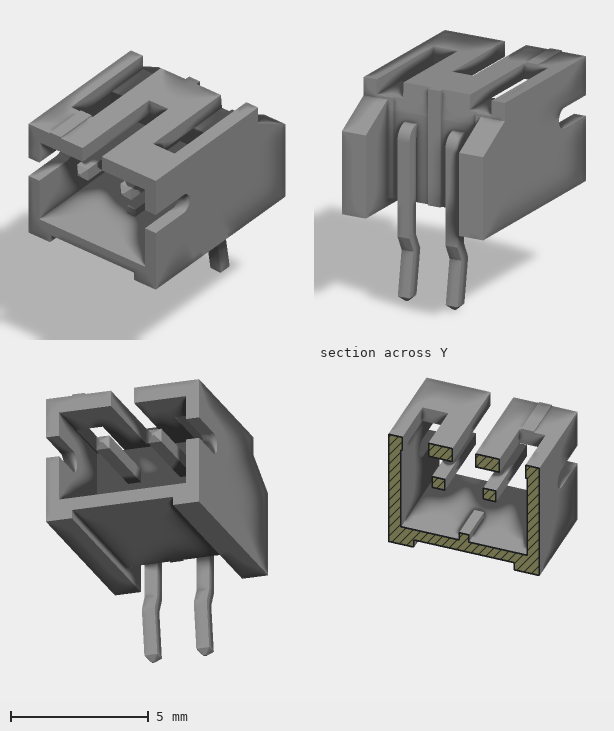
import cadquery as cq


width = 5.9
height = 4.8
wall_rear = 6.0
cheek_rear = 7.6
cheek_width = 1.0
cheek_top_front = 4.1
cheek_top_rear = 3.2
foot_height = 0.32

side_wall = 0.5
cavity_bottom = 0.8
cavity_top = 4.2
cavity_depth = 4.2

side_slot_depth = 2.0
side_slot_bottom = 2.5
side_slot_top = 3.3

notch_width = 0.89
notch_depth = 3.9
window_inner = 1.39
window_outer = 2.4
window_front = 1.8

recess_half_width = 1.735
recess_y = 5.9
recess_top_y = 5.79
recess_lean_start = 3.7
tab_width = 0.5

key_width = 0.38
key_height = 0.32
key_front = 2.28
mark_left = -1.95
mark_width = 0.5
mark_height = 0.05

pin_pitch = 2.0
pin_size = 0.5
pin_axis_z = 3.1
pin_tip_y = 0.5
pin_point_length = 0.2
pin_point_size = 0.1
tail_rear = 6.5
bend_radius = 0.56
jog_start_z = -0.9
jog_end_z = -1.49
jog_shift = 0.3
tail_end_z = -3.2
tail_end_rear = 6.48
tail_tip_z = -3.4


def box(x0, x1, y0, y1, z0, z1):
    """Block between two opposite corners."""
    return cq.Workplane("XY").box(x1 - x0, y1 - y0, z1 - z0, centered=False).translate((x0, y0, z0))


def extrude_side_profile(profile_points, extrude_width, x_center=0.0):
    """Solid from a (Y, Z) outline, extruded evenly about x_center."""
    outline = cq.Workplane("YZ").polyline(profile_points).close()
    return outline.extrude(extrude_width / 2, both=True).translate((x_center, 0, 0))


def housing_block():
    """Side outline across the full width, opened between the cheeks and between the feet."""
    side_outline = [
        (0, 0),
        (cheek_rear, 0),
        (cheek_rear, cheek_top_rear),
        (wall_rear, cheek_top_front),
        (wall_rear, height),
        (0, height),
    ]
    inner = width / 2 - cheek_width
    block = extrude_side_profile(side_outline, width)
    block = block.cut(box(-inner, inner, wall_rear, cheek_rear, 0, height))
    return block.cut(box(-inner, inner, 0, cheek_rear, 0, foot_height))


def cavity():
    half = width / 2 - side_wall
    return box(-half, half, 0, cavity_depth, cavity_bottom, cavity_top)


def side_slots():
    """One cutter through both side walls, open at the mating face."""
    radius = (side_slot_top - side_slot_bottom) / 2
    straight_end = side_slot_depth - radius
    outline = (
        cq.Workplane("YZ")
        .moveTo(0, side_slot_bottom)
        .lineTo(straight_end, side_slot_bottom)
        .threePointArc((side_slot_depth, side_slot_bottom + radius), (straight_end, side_slot_top))
        .lineTo(0, side_slot_top)
        .close()
    )
    return outline.extrude(width / 2, both=True)


def roof_openings():
    """Central notch plus two windows that run out through the back of the roof."""
    openings = box(-notch_width / 2, notch_width / 2, 0, notch_depth, cavity_top, height)
    for left in (-window_outer, window_inner):
        right = left + window_outer - window_inner
        openings = openings.union(box(left, right, window_front, wall_rear, cavity_top, height))
    return openings


def rear_recess():
    """Shallow recess in the rear wall, leaning forward at the top, with the middle rib kept."""
    recess_outline = [
        (wall_rear, 0),
        (recess_y, 0),
        (recess_y, recess_lean_start),
        (recess_top_y, height),
        (wall_rear, height),
    ]
    recess = extrude_side_profile(recess_outline, 2 * recess_half_width)
    return recess.cut(box(-tab_width / 2, tab_width / 2, 0, wall_rear, 0, height))


def floor_key():
    half = key_width / 2
    return box(-half, half, key_front, cavity_depth, cavity_bottom, cavity_bottom + key_height)


def pin_one_mark():
    return box(mark_left, mark_left + mark_width, 0, window_front, height, height + mark_height)


def pointed_end(base_center, tip_center):
    """Square frustum from the full pin section down to the blunt point."""
    base = cq.Vector(*base_center)
    axis = cq.Vector(*tip_center) - base
    frame = cq.Plane(origin=base_center, xDir=(1, 0, 0), normal=axis.toTuple())
    return (
        cq.Workplane(frame)
        .rect(pin_size, pin_size)
        .workplane(offset=axis.Length)
        .rect(pin_point_size, pin_point_size)
        .loft()
    )


def pin(x_center):
    """Square pin: contact along Y, rounded bend, jogged tail, blunt points at both ends."""
    top = pin_axis_z + pin_size / 2
    bottom = pin_axis_z - pin_size / 2
    contact_front = pin_tip_y + pin_point_length
    tail_front = tail_rear - pin_size
    pin_outline = [
        (contact_front, top),
        (tail_rear, top),
        (tail_rear, jog_start_z),
        (tail_rear - jog_shift, jog_end_z),
        (tail_end_rear, tail_end_z),
        (tail_end_rear - pin_size, tail_end_z),
        (tail_front - jog_shift, jog_end_z),
        (tail_front, jog_start_z),
        (tail_front, bottom),
        (contact_front, bottom),
    ]
    body = extrude_side_profile(pin_outline, pin_size, x_center)
    bend_edge = cq.selectors.NearestToPointSelector((x_center, tail_rear, top))
    body = body.edges(bend_edge).fillet(bend_radius)

    tail_end_y = tail_end_rear - pin_size / 2
    contact_point = pointed_end((x_center, contact_front, pin_axis_z), (x_center, pin_tip_y, pin_axis_z))
    tail_point = pointed_end((x_center, tail_end_y, tail_end_z), (x_center, tail_end_y, tail_tip_z))
    return body.union(contact_point).union(tail_point)


result = housing_block().cut(cavity()).cut(side_slots()).cut(roof_openings()).cut(rear_recess())
result = result.union(floor_key()).union(pin_one_mark())
for pin_x in (-pin_pitch / 2, pin_pitch / 2):
    result = result.union(pin(pin_x))